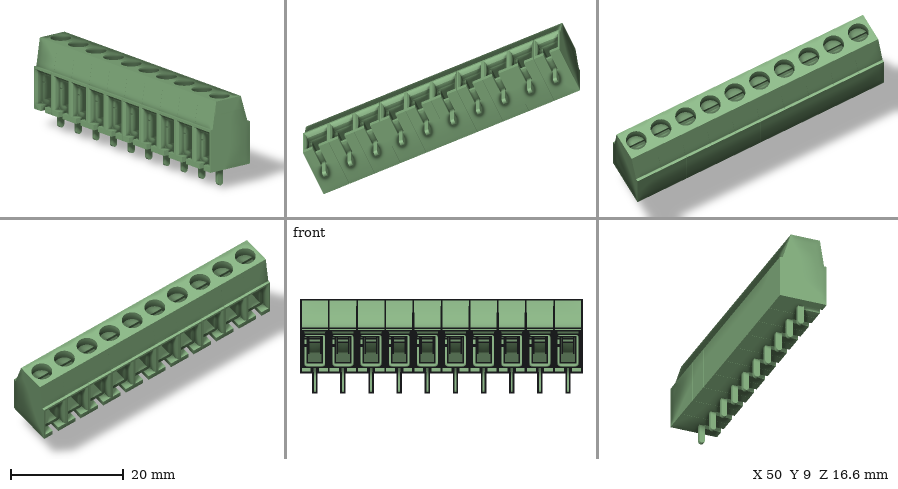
import cadquery as cq

POLE_COUNT = 10
PITCH = 5.0

LOCATING_PAD = 0.03
WIDTH = PITCH - LOCATING_PAD
CENTER_X = WIDTH / 2
DEPTH = 9.0
HEIGHT = 13.0
LEDGE_Z = 7.9
LEDGE_DEPTH = 0.5
ROOF_FRONT_Y = 1.3
ROOF_REAR_Y = 6.9

PAD_BOTTOM_Z = 10.6
PAD_FRONT_Y = 1.1

MOUTH_LEFT_WALL = 0.25
MOUTH_RIGHT_WALL = 0.25
MOUTH_TOP_Z = 7.45
RECESS_FLOOR_Z = 1.0
RECESS_DEPTH = 1.45
CORNER_STEP = 0.2
SIDE_BEVEL = 0.25
SIDE_BEVEL_DEPTH = 0.43
RECESS_LEFT_X = MOUTH_LEFT_WALL + SIDE_BEVEL
CEILING_DROP = 0.6
CEILING_BEVEL_DEPTH = 0.75
RECESS_CORNER_RADIUS = 0.4

POCKET_WIDTH = 2.7
POCKET_BOTTOM_Z = 1.75
POCKET_TOP_Z = 6.35
POCKET_BACK_Y = 6.0

CLAMP_WIDTH = 2.1
CLAMP_FRONT_Y = 3.6
CLAMP_BEVEL = 0.3
CLAMP_LIP_Z = 5.45
CLAMP_BACK_Z = 3.6
CLAMP_ROOT_RADIUS = 0.3

GROOVE_HEIGHT = 0.3
GROOVE_DEPTH = 0.3
GROOVE_CENTERS_Z = (6.2, 4.85)

SCREW_Y = 4.05
SCREW_DIAMETER = 3.7
WELL_DEPTH = 1.85
DRIVER_SLOT_WIDTH = 0.75
DRIVER_SLOT_DEPTH = 0.6

PIN_WIDTH = 0.7
PIN_DEPTH = 1.1
PIN_LENGTH = 3.6
PIN_SLOT_WIDTH = 1.2
PIN_SHOULDER_HEIGHT = 0.6
PIN_SHOULDER_SETBACK = 0.15
PIN_FRONT_Y = SCREW_Y - PIN_DEPTH / 2


def box(x0, x1, y0, y1, z0, z1):
    """Box between two corners."""
    return cq.Workplane("XY").box(x1 - x0, y1 - y0, z1 - z0, centered=False).translate((x0, y0, z0))


def centered_box(width, y0, y1, z0, z1):
    """Box centered across the pole."""
    return box(CENTER_X - width / 2, CENTER_X + width / 2, y0, y1, z0, z1)


def extrude_profile(points, x0, x1):
    """Prism along X with an outline of (y, z) points."""
    return cq.Workplane("YZ").workplane(offset=x0).polyline(points).close().extrude(x1 - x0)


def make_block():
    ledge_rear_y = DEPTH - LEDGE_DEPTH
    roof = [
        (LEDGE_DEPTH, LEDGE_Z),
        (ROOF_FRONT_Y, HEIGHT),
        (ROOF_REAR_Y, HEIGHT),
        (ledge_rear_y, LEDGE_Z),
    ]
    base = [(DEPTH, LEDGE_Z), (DEPTH, 0), (0, 0), (0, LEDGE_Z)]
    block = extrude_profile(base + roof, 0, WIDTH)
    pad_limits = box(0, PITCH, PAD_FRONT_Y, DEPTH, PAD_BOTTOM_Z, HEIGHT)
    pad = extrude_profile(roof, WIDTH, PITCH).intersect(pad_limits)
    return block.union(pad)


def make_recess():
    """Beveled mouth, a square-cornered middle and a last step with rounded corners."""
    mouth_right_x = WIDTH - MOUTH_RIGHT_WALL
    right_x = mouth_right_x - SIDE_BEVEL
    top_z = MOUTH_TOP_Z - CEILING_DROP
    step_y = RECESS_DEPTH - CORNER_STEP
    plan = [
        (MOUTH_LEFT_WALL, 0),
        (RECESS_LEFT_X, SIDE_BEVEL_DEPTH),
        (RECESS_LEFT_X, step_y),
        (right_x, step_y),
        (right_x, SIDE_BEVEL_DEPTH),
        (mouth_right_x, 0),
    ]
    section = [
        (0, RECESS_FLOOR_Z),
        (0, MOUTH_TOP_Z),
        (CEILING_BEVEL_DEPTH, top_z),
        (step_y, top_z),
        (step_y, RECESS_FLOOR_Z),
    ]
    plan_prism = cq.Workplane("XY").polyline(plan).close().extrude(HEIGHT)
    mouth = extrude_profile(section, 0, WIDTH).intersect(plan_prism)
    rounded_step = (
        box(RECESS_LEFT_X, right_x, step_y, RECESS_DEPTH, RECESS_FLOOR_Z, top_z)
        .edges("|Y")
        .fillet(RECESS_CORNER_RADIUS)
    )
    return mouth.union(rounded_step)


def make_grooves():
    pocket_x = CENTER_X - POCKET_WIDTH / 2
    groove_back_y = RECESS_DEPTH + GROOVE_DEPTH
    half_height = GROOVE_HEIGHT / 2
    return [
        box(RECESS_LEFT_X, pocket_x, RECESS_DEPTH, groove_back_y, z - half_height, z + half_height)
        for z in GROOVE_CENTERS_Z
    ]


def make_clamp():
    profile = [
        (CLAMP_FRONT_Y, CLAMP_LIP_Z),
        (CLAMP_FRONT_Y, POCKET_TOP_Z - CLAMP_BEVEL),
        (CLAMP_FRONT_Y + CLAMP_BEVEL, POCKET_TOP_Z),
        (POCKET_BACK_Y, POCKET_TOP_Z),
        (POCKET_BACK_Y, CLAMP_BACK_Z),
    ]
    return extrude_profile(profile, CENTER_X - CLAMP_WIDTH / 2, CENTER_X + CLAMP_WIDTH / 2)


def round_clamp_root(pole):
    """Fillet the corner where the clamp underside meets the back of the pocket."""
    root = cq.selectors.NearestToPointSelector((CENTER_X, POCKET_BACK_Y, CLAMP_BACK_Z))
    return pole.edges(root).fillet(CLAMP_ROOT_RADIUS)


def make_screw_well():
    well_floor_z = HEIGHT - WELL_DEPTH
    slot_floor_z = well_floor_z - DRIVER_SLOT_DEPTH
    cylinder = (
        cq.Workplane("XY", origin=(CENTER_X, SCREW_Y, slot_floor_z))
        .circle(SCREW_DIAMETER / 2)
        .extrude(HEIGHT - slot_floor_z)
    )
    well = cylinder.intersect(box(0, WIDTH, 0, DEPTH, well_floor_z, HEIGHT))
    half_slot = DRIVER_SLOT_WIDTH / 2
    slot = cylinder.intersect(
        box(0, WIDTH, SCREW_Y - half_slot, SCREW_Y + half_slot, slot_floor_z, HEIGHT)
    )
    return well.union(slot)


def make_pin():
    rear_y = SCREW_Y + PIN_DEPTH / 2
    tip_start_z = -PIN_LENGTH + PIN_DEPTH / 2
    blade = (
        cq.Workplane("YZ")
        .workplane(offset=CENTER_X - PIN_WIDTH / 2)
        .moveTo(PIN_FRONT_Y, RECESS_FLOOR_Z)
        .lineTo(PIN_FRONT_Y, tip_start_z)
        .threePointArc((SCREW_Y, -PIN_LENGTH), (rear_y, tip_start_z))
        .lineTo(rear_y, RECESS_FLOOR_Z)
        .close()
        .extrude(PIN_WIDTH)
    )
    shoulder_y = PIN_FRONT_Y + PIN_SHOULDER_SETBACK
    shoulder = centered_box(PIN_SLOT_WIDTH, shoulder_y, rear_y, 0, PIN_SHOULDER_HEIGHT)
    return blade.union(shoulder)


def make_pin_slot():
    """Slot open to the front, with a round end behind the front of the pin."""
    straight = centered_box(PIN_SLOT_WIDTH, 0, PIN_FRONT_Y, 0, RECESS_FLOOR_Z)
    round_end = (
        cq.Workplane("XY", origin=(CENTER_X, PIN_FRONT_Y, 0))
        .circle(PIN_SLOT_WIDTH / 2)
        .extrude(RECESS_FLOOR_Z)
    )
    return straight.union(round_end)


def make_pole():
    pocket = centered_box(POCKET_WIDTH, RECESS_DEPTH, POCKET_BACK_Y, POCKET_BOTTOM_Z, POCKET_TOP_Z)
    pole = make_block().cut(make_recess()).cut(pocket)
    for groove in make_grooves():
        pole = pole.cut(groove)
    pole = pole.cut(make_screw_well()).cut(make_pin_slot())
    pole = round_clamp_root(pole.union(make_clamp()))
    return pole.union(make_pin())


pole = make_pole()
poles = [pole.translate((i * PITCH, 0, 0)).val() for i in range(POLE_COUNT)]
result = cq.Compound.makeCompound(poles)